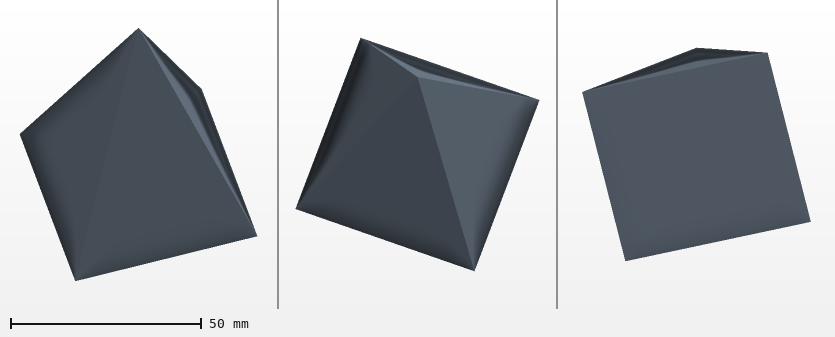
import cadquery as cq

base_side = 50.0
height = 70.0
half_side = base_side / 2


def triangular_prism(plane):
    """Isosceles triangle drawn on a vertical plane, extruded across the base."""
    outline = [(-half_side, 0), (half_side, 0), (0, height)]
    return cq.Workplane(plane).polyline(outline).close().extrude(half_side, both=True)


result = triangular_prism("XZ").intersect(triangular_prism("YZ"))